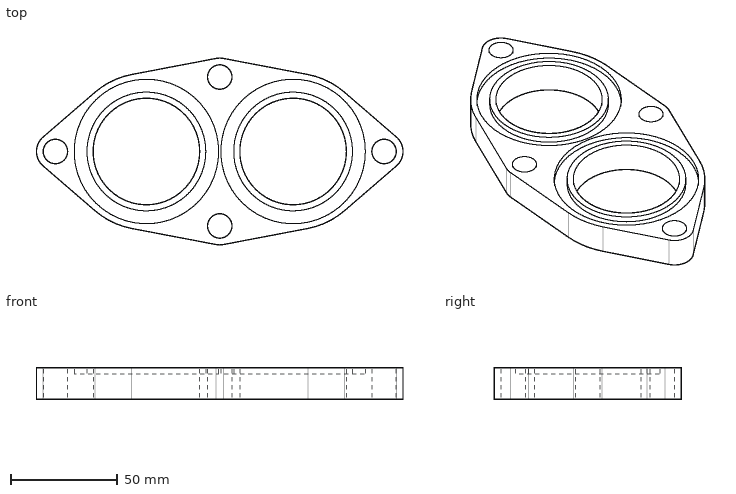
import cadquery as cq
import math

length = 172.5
width = 88.0
thickness = 15.0

bore_spacing = 69.0
bore_radius = 25.0
lip_radius = 28.0
groove_radius = 34.0
groove_depth = 3.0

bolt_hole_radius = 5.7
corner_radius = 9.0
shoulder_radius = 37.0

bore_x = bore_spacing / 2
end_hole_x = length / 2 - corner_radius
side_hole_y = width / 2 - corner_radius
bore_centers = [(-bore_x, 0), (bore_x, 0)]
bolt_centers = [
    (-end_hole_x, 0),
    (end_hole_x, 0),
    (0, -side_hole_y),
    (0, side_hole_y),
]


def point_on_circle(center, radius, angle):
    return (center[0] + radius * math.cos(angle), center[1] + radius * math.sin(angle))


def tangent_angle(center_a, radius_a, center_b, radius_b):
    """Direction from both centers to the tangent line on the right of the path from a to b."""
    dx = center_b[0] - center_a[0]
    dy = center_b[1] - center_a[1]
    return math.atan2(dy, dx) - math.acos((radius_a - radius_b) / math.hypot(dx, dy))


def plate():
    """Plate bounded by arcs around the bolt holes and bores, joined by tangent lines."""
    arcs = [
        ((end_hole_x, 0), corner_radius),
        ((bore_x, 0), shoulder_radius),
        ((0, side_hole_y), corner_radius),
        ((-bore_x, 0), shoulder_radius),
        ((-end_hole_x, 0), corner_radius),
        ((-bore_x, 0), shoulder_radius),
        ((0, -side_hole_y), corner_radius),
        ((bore_x, 0), shoulder_radius),
    ]
    count = len(arcs)
    leave_angles = [tangent_angle(*arcs[i], *arcs[(i + 1) % count]) for i in range(count)]

    outline = cq.Workplane("XY").moveTo(*point_on_circle(*arcs[0], leave_angles[-1]))
    for i, (center, radius) in enumerate(arcs):
        start = leave_angles[i - 1]
        sweep = (leave_angles[i] - start) % (2 * math.pi)
        middle = point_on_circle(center, radius, start + sweep / 2)
        end = point_on_circle(center, radius, start + sweep)
        outline = outline.threePointArc(middle, end)
        if i < count - 1:
            outline = outline.lineTo(*point_on_circle(*arcs[i + 1], leave_angles[i]))
    return outline.close().extrude(thickness)


def through_holes(centers, radius):
    return cq.Workplane("XY").pushPoints(centers).circle(radius).extrude(thickness)


def ring_grooves():
    """Flat-bottomed grooves in the top face, around the bore lips."""
    return (
        cq.Workplane("XY", origin=(0, 0, thickness - groove_depth))
        .pushPoints(bore_centers)
        .circle(groove_radius)
        .circle(lip_radius)
        .extrude(groove_depth)
    )


result = (
    plate()
    .cut(through_holes(bore_centers, bore_radius))
    .cut(through_holes(bolt_centers, bolt_hole_radius))
    .cut(ring_grooves())
)